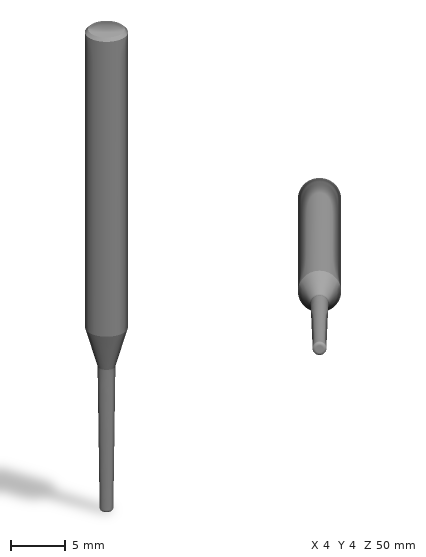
import cadquery as cq

TOTAL_LENGTH = 50.0
TIP_LENGTH = 1.35
NECK_TOP = 15.0
SHANK_BOTTOM = 19.05

SHANK_DIAMETER = 4.0
NECK_TOP_DIAMETER = 1.65
TIP_DIAMETER = 1.3

SHANK_RADIUS = SHANK_DIAMETER / 2
NECK_TOP_RADIUS = NECK_TOP_DIAMETER / 2
TIP_RADIUS = TIP_DIAMETER / 2

SHANK_CHAMFER = 0.3
TIP_CORNER_RADIUS = 0.3


def make_shank():
    """Shank with a conical shoulder and a slender tapered neck, revolved about Z."""
    profile = (
        cq.Workplane("XZ")
        .moveTo(0, TIP_LENGTH)
        .lineTo(TIP_RADIUS, TIP_LENGTH)
        .lineTo(NECK_TOP_RADIUS, NECK_TOP)
        .lineTo(SHANK_RADIUS, SHANK_BOTTOM)
        .lineTo(SHANK_RADIUS, TOTAL_LENGTH)
        .lineTo(0, TOTAL_LENGTH)
        .close()
    )
    body = profile.revolve(360, (0, 0, 0), (0, 1, 0))
    return body.faces(">Z").edges().chamfer(SHANK_CHAMFER)


def make_cutting_tip():
    """Short cylindrical tip with a rounded lower corner, butted against the neck."""
    body = cq.Workplane("XY").circle(TIP_RADIUS).extrude(TIP_LENGTH)
    return body.faces("<Z").edges().fillet(TIP_CORNER_RADIUS)


shank = make_shank()
cutting_tip = make_cutting_tip()

result = cq.Compound.makeCompound([shank.val(), cutting_tip.val()])